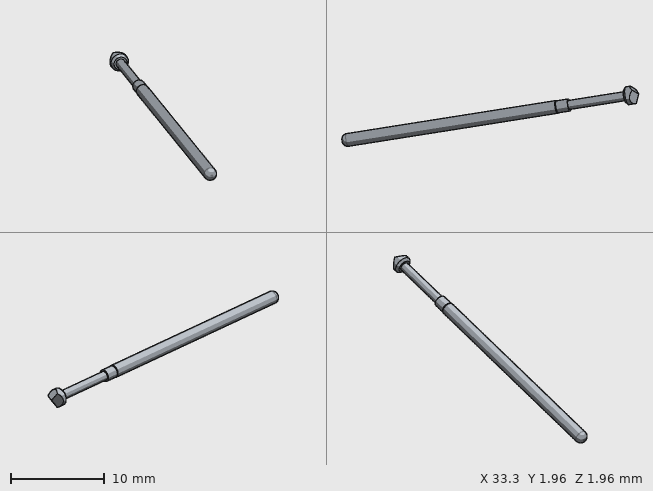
import cadquery as cq
import math

total_length = 33.28

head_radius = 0.982
head_end = 1.53
head_back_chamfer = 0.25
facet_count = 3
facet_angle = 41.0

plunger_radius = 0.5

collar_start = 7.82
collar_radius = 0.65
barrel_start = 9.12
barrel_radius = 0.7
barrel_lead_in = 0.1
end_round = 0.6


def cylinder(start, end, radius):
    """Round bar along X between two stations."""
    return cq.Workplane("YZ", origin=(start, 0, 0)).circle(radius).extrude(end - start)


def make_head():
    """Round head, chamfered behind and cut to a three-sided point in front."""
    head = cylinder(0, head_end, head_radius).faces(">X").chamfer(head_back_chamfer)
    cutter_reach = 2 * head_radius
    cutter_depth = cutter_reach * math.tan(math.radians(facet_angle))
    facet_cutter = (
        cq.Workplane("XY", origin=(0, 0, -cutter_reach))
        .polyline([(0, 0), (cutter_depth, -cutter_reach), (-cutter_depth, -cutter_reach),
                   (-cutter_depth, cutter_reach)])
        .close()
        .extrude(2 * cutter_reach)
    )
    for index in range(facet_count):
        turn = index * 360 / facet_count
        head = head.cut(facet_cutter.rotate((0, 0, 0), (1, 0, 0), turn))
    return head


def make_barrel():
    """Long barrel with a short tapered start and a rounded closed end."""
    profile = (
        cq.Workplane("XY")
        .moveTo(barrel_start, 0)
        .lineTo(barrel_start, collar_radius)
        .lineTo(barrel_start + barrel_lead_in, barrel_radius)
        .lineTo(total_length, barrel_radius)
        .lineTo(total_length, 0)
        .close()
    )
    barrel = profile.revolve(360, (0, 0, 0), (1, 0, 0))
    return barrel.faces(">X").edges().fillet(end_round)


plunger = cylinder(head_end, collar_start, plunger_radius)
collar = cylinder(collar_start, barrel_start, collar_radius)

result = make_head().union(plunger).union(collar).union(make_barrel())